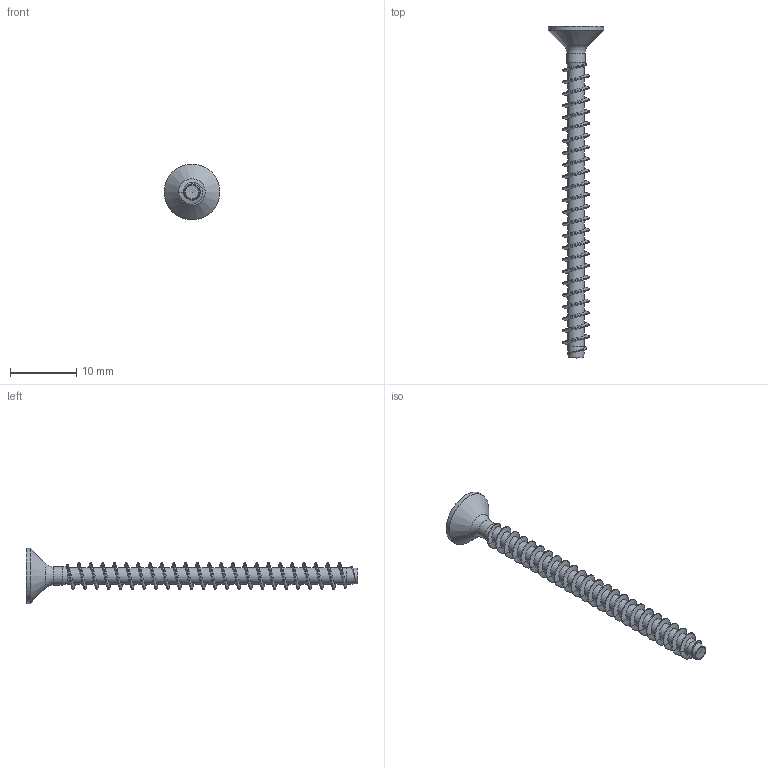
import cadquery as cq
import math

total_length = 50.0
head_radius = 4.2
head_rim_height = 0.64
head_cone_angle = 45.0
neck_radius = 1.42
neck_fillet_radius = 1.6
neck_end = 5.44

core_radius = 1.26
core_start = 6.2

tip_radius = 1.13
tip_curve_start = 48.3
dimple_radius = 1.0
dimple_depth = 0.06

thread_radius = 2.0
thread_start = 5.3
thread_end = 49.9
thread_turns = 25
thread_root_width = 0.52
thread_crest_width = 0.12
thread_root_depth = 0.2
lead_in_turns = 0.8
run_out_turns = 1.25
lead_in_scale = 0.4
run_out_scale = 0.05
start_angle = -90.0
points_per_turn = 16


def make_body():
    """Head, neck and core as one revolved profile, without the thread."""
    cone_height = (head_radius - neck_radius) / math.tan(math.radians(head_cone_angle))
    cone_end = head_rim_height + cone_height
    fillet_tangent = neck_fillet_radius * math.tan(math.radians(head_cone_angle / 2))
    cone_slope = math.radians(head_cone_angle)
    fillet_on_cone = (
        neck_radius + fillet_tangent * math.sin(cone_slope),
        -(cone_end - fillet_tangent * math.cos(cone_slope)),
    )
    fillet_on_neck = (neck_radius, -(cone_end + fillet_tangent))
    half_slope = cone_slope / 2
    fillet_middle = (
        neck_radius + neck_fillet_radius * (1 - math.cos(half_slope)),
        fillet_on_neck[1] + neck_fillet_radius * math.sin(half_slope),
    )
    sphere_radius = (dimple_radius**2 + dimple_depth**2) / (2 * dimple_depth)
    half_dimple = math.asin(dimple_radius / sphere_radius) / 2
    dimple_middle = (
        sphere_radius * math.sin(half_dimple),
        dimple_depth - total_length - sphere_radius * (1 - math.cos(half_dimple)),
    )
    return (
        cq.Workplane("XY")
        .moveTo(0, 0)
        .lineTo(head_radius, 0)
        .lineTo(head_radius, -head_rim_height)
        .lineTo(*fillet_on_cone)
        .threePointArc(fillet_middle, fillet_on_neck)
        .lineTo(neck_radius, -neck_end)
        .lineTo(core_radius, -core_start)
        .lineTo(core_radius, -tip_curve_start)
        .tangentArcPoint((tip_radius, -total_length), relative=False)
        .lineTo(dimple_radius, -total_length)
        .threePointArc(dimple_middle, (0, dimple_depth - total_length))
        .close()
        .revolve(360, (0, 0, 0), (0, 1, 0))
    )


def section_scale(turn):
    """Size of the thread section: full in the middle, fading at both ends."""
    lead_in = lead_in_scale + (1 - lead_in_scale) * turn / lead_in_turns
    run_out = run_out_scale + (1 - run_out_scale) * (thread_turns - turn) / run_out_turns
    return min(lead_in, run_out, 1.0)


def thread_corner(turn, is_crest, side):
    """One corner of the thread section after the given number of turns."""
    root_radius = core_radius - thread_root_depth
    width = thread_crest_width if is_crest else thread_root_width
    pitch = (thread_end - thread_start) / thread_turns
    scale = section_scale(turn)
    radius = root_radius
    if is_crest:
        radius += (thread_radius - root_radius) * scale
    angle = math.radians(start_angle) + 2 * math.pi * turn
    depth = thread_start + pitch * turn + side * width * scale / 2
    return cq.Vector(radius * math.cos(angle), -depth, radius * math.sin(angle))


def thread_rail(first_turn, last_turn, is_crest, side):
    """Path of one section corner along a stretch of the helix."""
    steps = math.ceil((last_turn - first_turn) * points_per_turn)
    turns = [first_turn + (last_turn - first_turn) * step / steps for step in range(steps + 1)]
    return cq.Edge.makeSpline([thread_corner(turn, is_crest, side) for turn in turns])


def make_thread():
    """Helical ridge: lead-in, full-size turns and run-out joined into one solid."""
    section = [(False, -1), (True, -1), (True, 1), (False, 1)]
    run_out_start = thread_turns - run_out_turns
    full_turns = math.floor(run_out_start - lead_in_turns)
    stretch_ends = [0]
    for full_turn in range(full_turns + 1):
        stretch_ends.append(lead_in_turns + full_turn)
    stretch_ends += [run_out_start, thread_turns]
    faces = []
    for first_turn, last_turn in zip(stretch_ends, stretch_ends[1:]):
        rails = [thread_rail(first_turn, last_turn, *corner) for corner in section]
        for index, rail in enumerate(rails):
            faces.append(cq.Face.makeRuledSurface(rails[index - 1], rail))
    for turn in (0, thread_turns):
        corners = [thread_corner(turn, *corner) for corner in section]
        faces.append(cq.Face.makeFromWires(cq.Wire.makePolygon(corners, close=True)))
    thread = cq.Solid.makeSolid(cq.Shell.makeShell(faces))
    return cq.Workplane(obj=thread.fix())


result = make_body().union(make_thread()).solids()